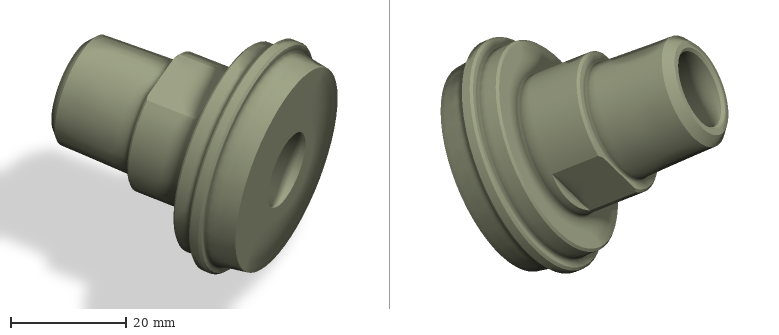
import cadquery as cq
import math

total_length = 41.5

bore_diameter = 14.0
bore_mouth_diameter = 14.95
nose_tip_radius = 8.65
nose_start_radius = 10.28
nose_chamfer_length = 1.6
nose_taper = 1 / 32

body_start = 16.95
body_diameter = 26.0
flat_half_width = 11.52
flat_end = 26.88
flat_end_angle = 20

flange_start = 29.4
flange_diameter = 39.0
rim_start = 33.5
rim_end = 35.95
rim_diameter = 43
tail_start_radius = 19.85
tail_end_radius = 19.0

edge_chamfer = 0.45
corner_radius = 0.45


def inner_corner(outline, radius, start_radius, wall_x, wall_on_right=True):
    """Run a fillet between the surface at start_radius and the wall at wall_x.

    A right-hand wall is climbed going +X; a left-hand wall is descended.
    """
    diagonal = radius * (1 - math.sqrt(0.5))
    side = -1 if wall_on_right else 1
    foot = (wall_x + side * radius, start_radius)
    middle = (wall_x + side * diagonal, start_radius + diagonal)
    top = (wall_x, start_radius + radius)
    if wall_on_right:
        return outline.lineTo(*foot).threePointArc(middle, top)
    return outline.lineTo(*top).threePointArc(middle, foot)


def turned_body():
    """Half section, revolved about X."""
    body_radius = body_diameter / 2
    flange_radius = flange_diameter / 2
    rim_radius = rim_diameter / 2
    taper_length = body_start - corner_radius - nose_chamfer_length
    nose_end_radius = nose_start_radius + taper_length * nose_taper

    outline = cq.Workplane("XY").moveTo(0, 0).lineTo(0, nose_tip_radius)
    outline = outline.lineTo(nose_chamfer_length, nose_start_radius)
    outline = inner_corner(outline, corner_radius, nose_end_radius, body_start)
    outline = outline.lineTo(body_start, body_radius - edge_chamfer)
    outline = outline.lineTo(body_start + edge_chamfer, body_radius)
    outline = inner_corner(outline, corner_radius, body_radius, flange_start)
    outline = outline.lineTo(flange_start, flange_radius - edge_chamfer)
    outline = outline.lineTo(flange_start + edge_chamfer, flange_radius)
    outline = inner_corner(outline, corner_radius, flange_radius, rim_start)
    outline = outline.lineTo(rim_start, rim_radius - edge_chamfer)
    outline = outline.lineTo(rim_start + edge_chamfer, rim_radius)
    outline = outline.lineTo(rim_end - edge_chamfer, rim_radius)
    outline = outline.lineTo(rim_end, rim_radius - edge_chamfer)
    outline = inner_corner(outline, corner_radius, tail_start_radius, rim_end, wall_on_right=False)
    outline = outline.lineTo(total_length, tail_end_radius).lineTo(total_length, 0).close()
    return outline.revolve(360, (0, 0, 0), (1, 0, 0))


def bore():
    """Through bore with a 45 degree countersink at the nose end."""
    bore_radius = bore_diameter / 2
    mouth_radius = bore_mouth_diameter / 2
    outline = (
        cq.Workplane("XY")
        .moveTo(0, 0)
        .lineTo(0, mouth_radius)
        .lineTo(mouth_radius - bore_radius, bore_radius)
        .lineTo(total_length, bore_radius)
        .lineTo(total_length, 0)
        .close()
    )
    return outline.revolve(360, (0, 0, 0), (1, 0, 0))


def flat_cut():
    """Stock removed above the upper wrench flat, with a leaning end wall."""
    cut_top = body_diameter / 2 + edge_chamfer
    lean = (cut_top - flat_half_width) * math.tan(math.radians(flat_end_angle))
    outline = [
        (body_start, flat_half_width),
        (flat_end, flat_half_width),
        (flat_end + lean, cut_top),
        (body_start, cut_top),
    ]
    return cq.Workplane("XZ").polyline(outline).close().extrude(body_diameter / 2, both=True)


result = turned_body().cut(bore())
for turn in (0, 180):
    result = result.cut(flat_cut().rotate((0, 0, 0), (1, 0, 0), turn))